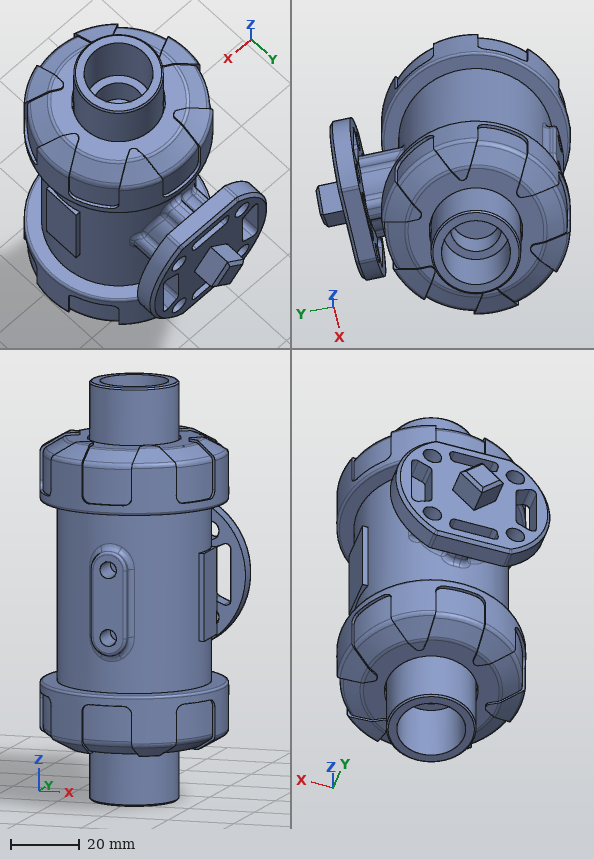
import cadquery as cq
import math

TOTAL_LENGTH = 123.5
TOTAL_DEPTH = 74.0
OVERLAP = 1.2
TOLERANCE = 0.01

PIPE_DIA = 26.0
SOCKET_DIA = 20.0
SOCKET_DEPTH = 19.8
PORT_DIA = 15.0
PORT_DEPTH = 29.6
PIPE_EDGE = 0.5

BODY_DIA = 45.0
BODY_R = BODY_DIA / 2
SEAM_ZONE_Z = 22.2

NUT_DIA = 55.0
NUT_R = NUT_DIA / 2
NUT_BASE_Z = 26.7
NUT_TOP_Z = 45.7
NUT_CONE_ANGLE = 30.0
NUT_FACE_R = 20.4
NUT_SHOULDER_ROUND = 1.6
NUT_FACE_ROUND = 2.0
NUT_BASE_ROUND = 0.7
NUT_BORE_DIA = 27.2
NUT_BORE_DEPTH = 4.0

RECESS_COUNT = 6
RECESS_WIDTH = 15.2
RECESS_BASE_Z = 29.6
RECESS_R = 26.5
RECESS_TOP_Z = 45.0
RECESS_FACE_R = 20.3
RECESS_SHOULDER_ROUND = 2.0
RECESS_FACE_ROUND = 2.0
RECESS_CORNER_ROUND = 2.5
LOBE_NOSE_ROUND = 1.5
CUTTER_MARGIN = 5.0

PAD_HOLE_SPACING = 20.0
PAD_WIDTH = 10.9
PAD_FACE_Y = -25.1
PAD_EDGE_ROUND = 0.9
PAD_BASE_ROUND = 2.0
PAD_HOLE_DIA = 5.0
PAD_HOLE_DEPTH = 9.9

LABEL_FACE_X = 23.2
LABEL_LENGTH = 25.9
LABEL_WIDTH = 12.4

NECK_CORE_R = 10.1
NECK_RIB_REACH = 12.5
NECK_RIB_THICKNESS = 6.2
NECK_RIB_ROUND = 2.1
NECK_CORNER_ROUND = 1.9
NECK_BASE_ROUND = 1.7

FLANGE_BACK_Y = 32.2
FLANGE_FRONT_Y = 38.4
FLANGE_DIA = 47.3
FLANGE_HEIGHT = 41.2
FLANGE_CORNER_ROUND = 1.9
FLANGE_EDGE = 1.0
BOLT_CIRCLE_DIA = 36.1
BOLT_HOLE_DIA = 5.5
BOLT_COUNT = 4

SIDE_WINDOW_INNER = 13.0
SIDE_WINDOW_OUTER = 19.1
SIDE_WINDOW_INNER_LENGTH = 14.3
SIDE_WINDOW_OUTER_LENGTH = 19.8
END_WINDOW_INNER = 12.7
END_WINDOW_OUTER = 17.0
END_WINDOW_INNER_LENGTH = 13.8
END_WINDOW_OUTER_LENGTH = 15.5
WINDOW_CORNER_ROUND = 1.5

STEM_DIAGONAL = 13.2
STEM_END_Y = TOTAL_DEPTH - NUT_R
STEM_EDGE = 1.0


def cylinder(diameter, z_start, z_end):
    return cq.Workplane("XY").workplane(offset=z_start).circle(diameter / 2).extrude(z_end - z_start)


def across_y(y_start):
    """Sketch plane at y_start facing +Y, with local y along +Z (local x is -X)."""
    return cq.Workplane("XZ", origin=(0, y_start, 0)).transformed(rotate=(0, 180, 0))


def capped_cone(radius, face_radius, base_z, top_z):
    """Solid of revolution: cylinder closed by a cone of the nut angle and a flat face."""
    shoulder_z = top_z - (radius - face_radius) * math.tan(math.radians(NUT_CONE_ANGLE))
    outline = [(0, base_z), (radius, base_z), (radius, shoulder_z), (face_radius, top_z), (0, top_z)]
    return cq.Workplane("XZ").polyline(outline).close().revolve(360, (0, 0), (0, 1)), shoulder_z


def edge_at_height(z):
    low = (-NUT_DIA, -NUT_DIA, z - TOLERANCE)
    high = (NUT_DIA, NUT_DIA, z + TOLERANCE)
    return cq.selectors.BoxSelector(low, high, True)


def make_recess_cutter():
    """Six radial channels with rounded floors, joined at the top by a star with rounded inner corners."""
    channel_start = RECESS_R - CUTTER_MARGIN
    channel_end = NUT_R + CUTTER_MARGIN
    height = NUT_TOP_Z + OVERLAP - RECESS_BASE_Z
    channel = (
        cq.Workplane("XY")
        .box(channel_end - channel_start, RECESS_WIDTH, height, centered=(False, True, False))
        .translate((channel_start, 0, RECESS_BASE_Z))
        .edges("|X and <Z")
        .fillet(RECESS_CORNER_ROUND)
    )
    spacing = 360 / RECESS_COUNT
    star_base_z = RECESS_TOP_Z - CUTTER_MARGIN
    star_height = NUT_TOP_Z + OVERLAP - star_base_z
    star = cq.Workplane("XY")
    for i in range(RECESS_COUNT // 2):
        bar = cq.Workplane("XY").box(2 * channel_end, RECESS_WIDTH, star_height, centered=(True, True, False))
        star = star.union(bar.rotate((0, 0, 0), (0, 0, 1), spacing * (i + 0.5)))
    inner = RECESS_WIDTH + OVERLAP
    star = star.edges(cq.selectors.BoxSelector((-inner, -inner, 0), (inner, inner, star_height)))
    star = star.edges("|Z").fillet(LOBE_NOSE_ROUND).translate((0, 0, star_base_z))
    cutter = star
    for i in range(RECESS_COUNT):
        cutter = cutter.union(channel.rotate((0, 0, 0), (0, 0, 1), spacing * (i + 0.5)))
    return cutter


def make_nut():
    lobes, shoulder_z = capped_cone(NUT_R, NUT_FACE_R, NUT_BASE_Z, NUT_TOP_Z)
    lobes = lobes.edges(edge_at_height(shoulder_z)).fillet(NUT_SHOULDER_ROUND)
    lobes = lobes.faces(">Z").edges().fillet(NUT_FACE_ROUND)
    lobes = lobes.faces("<Z").edges().fillet(NUT_BASE_ROUND)
    core, shoulder_z = capped_cone(RECESS_R, RECESS_FACE_R, RECESS_BASE_Z - OVERLAP, RECESS_TOP_Z)
    core = core.edges(edge_at_height(shoulder_z)).fillet(RECESS_SHOULDER_ROUND)
    core = core.faces(">Z").edges().fillet(RECESS_FACE_ROUND)
    nut = lobes.cut(make_recess_cutter()).union(core)
    return nut.cut(cylinder(NUT_BORE_DIA, RECESS_TOP_Z - NUT_BORE_DEPTH, NUT_TOP_Z))


def make_pad():
    length = PAD_HOLE_SPACING + PAD_WIDTH
    pad = cq.Workplane("XZ").slot2D(length, PAD_WIDTH, 90).extrude(-PAD_FACE_Y)
    return pad.faces("<Y").edges().fillet(PAD_EDGE_ROUND)


def make_pad_holes():
    plane = cq.Workplane("XZ", origin=(0, PAD_FACE_Y + PAD_HOLE_DEPTH, 0))
    return plane.rarray(1.2, PAD_HOLE_SPACING, 1, 2).circle(PAD_HOLE_DIA / 2).extrude(PAD_HOLE_DEPTH)


def on_neck_core(edge):
    """True for the inner corners where a rib meets the round core."""
    middle = edge.Center()
    return abs(math.hypot(middle.x, middle.z) - NECK_CORE_R) < TOLERANCE


def make_neck():
    """Round core with four rounded ribs, along Y from the body axis to the flange."""
    neck = across_y(0).circle(NECK_CORE_R).extrude(FLANGE_BACK_Y)
    for size in ((2 * NECK_RIB_REACH, NECK_RIB_THICKNESS), (NECK_RIB_THICKNESS, 2 * NECK_RIB_REACH)):
        rib = across_y(0).rect(*size).extrude(FLANGE_BACK_Y).edges("|Y").fillet(NECK_RIB_ROUND)
        neck = neck.union(rib)
    return neck.edges("|Y").filter(on_neck_core).fillet(NECK_CORNER_ROUND)


def make_window(inner, outer, inner_length, outer_length, angle):
    outline = [
        (inner, -inner_length / 2),
        (outer, -outer_length / 2),
        (outer, outer_length / 2),
        (inner, inner_length / 2),
    ]
    window = across_y(FLANGE_BACK_Y).polyline(outline).close().extrude(FLANGE_FRONT_Y - FLANGE_BACK_Y)
    window = window.edges("|Y").fillet(WINDOW_CORNER_ROUND)
    return window.rotate((0, 0, 0), (0, 1, 0), angle)


def make_flange():
    thickness = FLANGE_FRONT_Y - FLANGE_BACK_Y
    flange = across_y(FLANGE_BACK_Y).circle(FLANGE_DIA / 2).extrude(thickness)
    flange = flange.intersect(across_y(FLANGE_BACK_Y).rect(FLANGE_DIA, FLANGE_HEIGHT).extrude(thickness))
    corner_x = math.sqrt((FLANGE_DIA / 2) ** 2 - (FLANGE_HEIGHT / 2) ** 2)
    zone_x = corner_x + OVERLAP
    corners = cq.selectors.BoxSelector(
        (-zone_x, FLANGE_BACK_Y, -FLANGE_HEIGHT), (zone_x, FLANGE_FRONT_Y, FLANGE_HEIGHT)
    )
    flange = flange.edges("|Y").edges(corners).fillet(FLANGE_CORNER_ROUND)
    flange = flange.faces(">Y").edges().chamfer(FLANGE_EDGE)
    bolts = across_y(FLANGE_BACK_Y).polarArray(BOLT_CIRCLE_DIA / 2, 180 / BOLT_COUNT, 360, BOLT_COUNT)
    flange = flange.cut(bolts.circle(BOLT_HOLE_DIA / 2).extrude(thickness))
    side = (SIDE_WINDOW_INNER, SIDE_WINDOW_OUTER, SIDE_WINDOW_INNER_LENGTH, SIDE_WINDOW_OUTER_LENGTH)
    end = (END_WINDOW_INNER, END_WINDOW_OUTER, END_WINDOW_INNER_LENGTH, END_WINDOW_OUTER_LENGTH)
    for sizes, angle in ((side, 0), (end, 90), (side, 180), (end, 270)):
        flange = flange.cut(make_window(*sizes, angle))
    return flange


def make_stem():
    side = STEM_DIAGONAL / math.sqrt(2)
    stem = across_y(FLANGE_BACK_Y).rect(side, side).extrude(STEM_END_Y - FLANGE_BACK_Y)
    return stem.faces(">Y").edges().chamfer(STEM_EDGE).rotate((0, 0, 0), (0, 1, 0), 45)


def make_pipe_end():
    pipe = cylinder(PIPE_DIA, 0, TOTAL_LENGTH / 2)
    return pipe.faces(">Z").edges().chamfer(PIPE_EDGE)


def make_bore():
    end_z = TOTAL_LENGTH / 2
    return cylinder(SOCKET_DIA, end_z - SOCKET_DEPTH, end_z).union(
        cylinder(PORT_DIA, end_z - PORT_DEPTH, end_z)
    )


def both_ends(shape):
    return shape.union(shape.mirror("XY"))


def on_body_surface(edge):
    """True for seam edges: both ends and the middle lie on the body cylinder."""
    points = [edge.positionAt(t) for t in (0, 0.5, 1)]
    return all(abs(math.hypot(p.x, p.y) - BODY_R) < TOLERANCE for p in points)


def blend_to_body(solid, side, radius):
    """Fillet the seams on the +Y (side = 1) or -Y (side = -1) half of the body, clear of its ends."""
    y_min, y_max = sorted((0, side * NUT_R))
    zone = cq.selectors.BoxSelector((-NUT_R, y_min, -SEAM_ZONE_Z), (NUT_R, y_max, SEAM_ZONE_Z), True)
    return solid.edges(zone).filter(on_body_surface).fillet(radius)


def make_body():
    body_end_z = NUT_BASE_Z + OVERLAP
    body = cylinder(BODY_DIA, -body_end_z, body_end_z)
    body = blend_to_body(body.union(make_pad()), -1, PAD_BASE_ROUND)
    body = body.cut(make_pad_holes())
    body = blend_to_body(body.union(make_neck()), 1, NECK_BASE_ROUND)
    label = cq.Workplane("XY").box(LABEL_FACE_X, LABEL_WIDTH, LABEL_LENGTH, centered=(False, True, True))
    return body.union(label)


result = (
    make_body()
    .union(make_flange())
    .union(make_stem())
    .union(both_ends(make_nut()))
    .union(both_ends(make_pipe_end()))
    .cut(make_bore())
    .cut(make_bore().mirror("XY"))
)